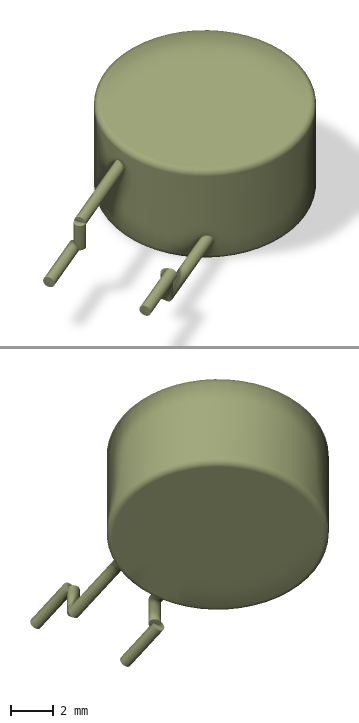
import cadquery as cq

can_diameter = 10.5
can_height = 5.5
rim_radius = 0.3

wire_diameter = 0.6
lead_x = 2.25
tip_x = 2.5
lead_z = 1.5
total_length = 17.5
tip_length = 3.0

tip_end_y = can_diameter / 2 - total_length
bend_y = tip_end_y + tip_length
root_y = -can_diameter / 3


def wire_along_y(x, z, start_y, end_y):
    """Straight round wire running from start_y toward -Y to end_y."""
    return (
        cq.Workplane("XZ", origin=(x, start_y, z))
        .circle(wire_diameter / 2)
        .extrude(start_y - end_y)
    )


def lead(x_side, z_side):
    """Lead on one side of the can, stepped back to the mid-plane before its tip."""
    root = wire_along_y(x_side * lead_x, z_side * lead_z, root_y, bend_y)
    step = (
        cq.Workplane("XY", origin=(x_side * lead_x, bend_y, 0))
        .circle(wire_diameter / 2)
        .extrude(z_side * lead_z)
    )
    tip = wire_along_y(x_side * tip_x, 0, bend_y, tip_end_y)
    return root.union(step).union(tip)


can = (
    cq.Workplane("XY")
    .cylinder(can_height, can_diameter / 2)
    .edges("%CIRCLE")
    .fillet(rim_radius)
)

result = can.union(lead(-1, 1)).union(lead(1, -1))